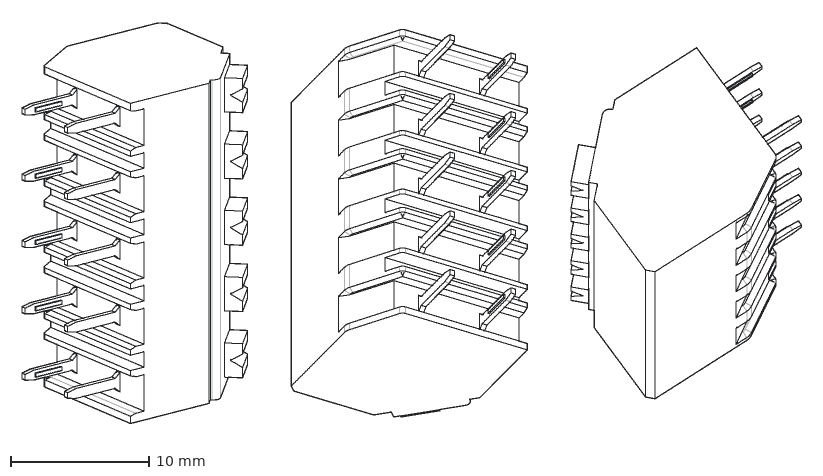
import cadquery as cq
import math

HEIGHT = 24.52
CELL_COUNT = 5
PITCH = 5.08

WIDTH = 12.7
DEPTH = 12.85
BACK_CHAMFER = 0.5
BACK_EDGE_END = 7.05
NOTCH_DEPTH = 0.93
NOTCH_RISE = 0.47
SLOPE_STEP = 0.55
SHOULDER_Y = 7.18
SLOPE_TIP_RADIUS = 0.56
BEVEL_X = 2.43
BEVEL_Y = 4.05
BEVEL_TOP_RADIUS = 0.98
BEVEL_BOTTOM_RADIUS = 0.45

RECESS_HEIGHT = 3.1
RECESS_DEPTH = 1.25
RECESS_CORNER_X = 2.43
RECESS_TOP_Y = 5.25
RIM_SLOPE_WIDTH = 0.5
RIM_SLOPE_DROP = 0.17
END_RIM_SLOPE_DROP = 0.12

SLOT_HEIGHT = 1.18

PIN_POSITIONS = ((4.6, 1), (9.64, -1))
PIN_THICKNESS = 0.4
PIN_WIDTH = 0.75
PIN_TIP_Y = -3.5
PIN_TIP_WIDTH = 0.45
PIN_TAPER_LENGTH = 0.78
PIN_ROOT_WIDTH = 1.47
PIN_ROOT_LENGTH = 0.42
PIN_EMBED = 0.5
BEAD_HEIGHT = 0.3
BEAD_THICKNESS = 0.12
BEAD_START_Y = -0.25
BEAD_END_Y = -2.62

BUTTON_LENGTH = 2.08
BUTTON_RISE = 0.93
BUTTON_HEIGHT = 2.62
BUTTON_SETBACK = 0.1
GROOVE_WIDTH = 1.03
GROOVE_ANGLE = 60.0

notch_x = BACK_EDGE_END + NOTCH_DEPTH
notch_y = DEPTH - NOTCH_DEPTH
slope_top_x = notch_x + NOTCH_RISE
slope_top_y = notch_y + NOTCH_RISE
step_x = WIDTH - SLOPE_STEP
step_y = SHOULDER_Y + SLOPE_STEP
slope_sum = slope_top_x + slope_top_y
slope_tip_x = (slope_sum + step_x - step_y) / 2
slope_tip_y = slope_sum - slope_tip_x
cell_heights = [(i - (CELL_COUNT - 1) / 2) * PITCH for i in range(CELL_COUNT)]
wall_heights = [z + PITCH / 2 for z in cell_heights[:-1]]
inner_rim = PITCH - RECESS_HEIGHT
end_rim = HEIGHT / 2 - cell_heights[-1] - RECESS_HEIGHT / 2


def prism(points, height, z_center=0.0):
    """Extrude an XY outline symmetrically about z_center."""
    middle = cq.Workplane("XY", origin=(0, 0, z_center))
    return middle.polyline(points).close().extrude(height / 2, both=True)


def make_core():
    """Full-height housing body, set back to the recess floors."""
    points = [
        (0, RECESS_TOP_Y),
        (0, DEPTH - BACK_CHAMFER),
        (BACK_CHAMFER, DEPTH),
        (BACK_EDGE_END, DEPTH),
        (notch_x, notch_y),
        (slope_top_x, slope_top_y),
        (slope_tip_x, slope_tip_y),
        (step_x, step_y),
        (WIDTH, SHOULDER_Y),
        (WIDTH, RECESS_DEPTH),
        (RECESS_CORNER_X, RECESS_DEPTH),
    ]
    core = prism(points, HEIGHT)
    tip = cq.selectors.NearestToPointSelector((slope_tip_x, slope_tip_y, 0))
    return core.edges(tip).fillet(SLOPE_TIP_RADIUS)


def make_wall(rim_height, z_center, rim_drop, slopes_down=True, slopes_up=True):
    """Wall that reaches the full outline and thickens inwards from its rim on the sloped sides."""
    long_x = WIDTH + RIM_SLOPE_WIDTH
    points = [
        (0, SHOULDER_Y),
        (0, BEVEL_Y),
        (BEVEL_X, 0),
        (long_x, 0),
        (long_x, SHOULDER_Y),
    ]
    near = cq.selectors.NearestToPointSelector
    rim = prism(points, rim_height, z_center)
    rim = rim.edges(near((0, BEVEL_Y, z_center))).fillet(BEVEL_TOP_RADIUS)
    rim = rim.edges(near((BEVEL_X, 0, z_center))).fillet(BEVEL_BOTTOM_RADIUS)

    taper = math.degrees(math.atan(RIM_SLOPE_WIDTH / rim_drop))
    wall = rim
    if slopes_up:
        wall = wall.union(rim.faces(">Z").wires().toPending().extrude(rim_drop, taper=taper, combine=False))
    if slopes_down:
        wall = wall.union(rim.faces("<Z").wires().toPending().extrude(-rim_drop, taper=taper, combine=False))
    envelope = cq.Workplane("XY").box(WIDTH, SHOULDER_Y, HEIGHT, centered=(False, False, True))
    return wall.intersect(envelope)


def make_slot(z_center):
    """Slot through a wall, as deep as the recesses."""
    slot = cq.Workplane("XY").box(WIDTH, RECESS_DEPTH, SLOT_HEIGHT, centered=(False, False, True))
    return slot.translate((0, 0, z_center))


def make_pin(x_center, bead_side, z_center):
    """Flat solder pin with a flared root, a tapered tip and a stiffening bead on one side."""
    root_y = RECESS_DEPTH
    half_outline = [
        (root_y + PIN_EMBED, PIN_ROOT_WIDTH / 2),
        (root_y, PIN_ROOT_WIDTH / 2),
        (root_y - PIN_ROOT_LENGTH, PIN_WIDTH / 2),
        (PIN_TIP_Y + PIN_TAPER_LENGTH, PIN_WIDTH / 2),
        (PIN_TIP_Y, PIN_TIP_WIDTH / 2),
    ]
    outline = half_outline + [(y, -z) for y, z in reversed(half_outline)]
    blade = cq.Workplane("YZ").polyline(outline).close().extrude(PIN_THICKNESS / 2, both=True)
    bead_x = bead_side * PIN_THICKNESS / 2
    bead_y = (BEAD_START_Y + BEAD_END_Y) / 2
    bead = cq.Workplane("XY").box(2 * BEAD_THICKNESS, BEAD_START_Y - BEAD_END_Y, BEAD_HEIGHT)
    return blade.union(bead.translate((bead_x, bead_y, 0))).translate((x_center, 0, z_center))


def make_button(z_center):
    """Push button with a V groove across its top face."""
    start_x = slope_top_x + BUTTON_SETBACK
    start_y = slope_top_y - BUTTON_SETBACK
    points = [
        (start_x, start_y),
        (start_x + BUTTON_RISE, start_y + BUTTON_RISE),
        (start_x + BUTTON_RISE + BUTTON_LENGTH, start_y + BUTTON_RISE - BUTTON_LENGTH),
        (start_x + BUTTON_LENGTH, start_y - BUTTON_LENGTH),
    ]
    button = prism(points, BUTTON_HEIGHT, z_center)
    groove_depth = GROOVE_WIDTH / 2 / math.tan(math.radians(GROOVE_ANGLE / 2))
    groove_plane = cq.Plane(
        origin=(start_x + BUTTON_RISE, start_y + BUTTON_RISE, z_center),
        xDir=(0, 0, 1),
        normal=(1, -1, 0),
    )
    groove = (
        cq.Workplane(groove_plane)
        .polyline([(-GROOVE_WIDTH / 2, 0), (GROOVE_WIDTH / 2, 0), (0, groove_depth)])
        .close()
        .extrude(BUTTON_LENGTH * math.sqrt(2))
    )
    return button.cut(groove)


result = make_core()

end_z = (HEIGHT - end_rim) / 2
result = result.union(make_wall(end_rim, end_z, END_RIM_SLOPE_DROP, slopes_up=False))
result = result.union(make_wall(end_rim, -end_z, END_RIM_SLOPE_DROP, slopes_down=False))

for z in wall_heights:
    slotted_wall = make_wall(inner_rim, z, RIM_SLOPE_DROP)
    result = result.union(slotted_wall.cut(make_slot(z)))

for z in cell_heights:
    result = result.union(make_button(z))
    for pin_x, pin_bead_side in PIN_POSITIONS:
        result = result.union(make_pin(pin_x, pin_bead_side, z))